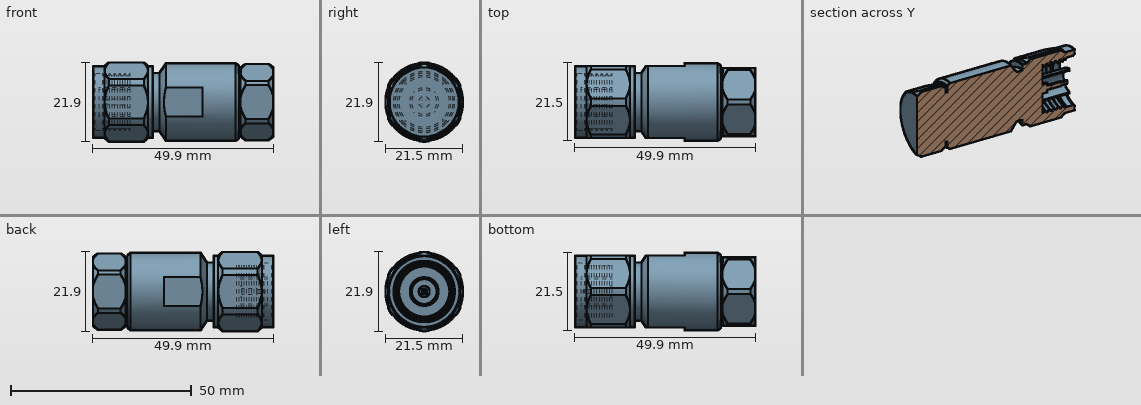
import cadquery as cq
import math

hex_start = 3.2
hex_end = 15.25
coupling_end = 16.6
body_start = 18.35
body_cone_end = 20.15
body_end = 40.35
rear_nut_start = 40.8
length = 49.9

rim_diameter = 19.85
rim_chamfer = 0.15
coupling_across_flats = 19.95
coupling_corner_diameter = 21.95
coupling_bevel_length = 1.2
coupling_bevel_depth = 1.05

neck_diameter = 16.15
body_diameter = 21.5
body_chamfer_length = 0.9
body_chamfer_depth = 0.7
flat_end = 30.3
body_across_flats = 19.95

rear_neck_diameter = 16.05
rear_across_flats = 18.95
rear_corner_diameter = 21.15
rear_bevel_length = 1.4
rear_bevel_depth = 1.0

mouth_diameter = 16.95
bore_diameter = 15.85
mouth_chamfer = (mouth_diameter - bore_diameter) / 2
lead_start = 2.6
lead_length = 0.35
lead_depth = 0.55
thread_start = 3.25
thread_pitch = 1.4
thread_count = 5
thread_crest_diameter = 13.85
socket_floor = thread_start + thread_count * thread_pitch

sleeve_start = 1.7
sleeve_outer_diameter = 7.95
sleeve_inner_diameter = 6.9
pin_start = 2.3
pin_diameter = 1.2
shank_diameter = 1.55
shank_start = 4.5
pin_tip_diameter = 0.6
pin_tip_length = 0.2
pin_base_diameter = 3.05
pin_base_length = 1.5


def revolve_profile(points):
    """Revolve (x, radius) points, closed along the X axis."""
    closed = [(points[0][0], 0)] + points + [(points[-1][0], 0)]
    return cq.Workplane("XY").polyline(closed).close().revolve(360, (0, 0, 0), (1, 0, 0))


def cylinder(start, end, diameter):
    return revolve_profile([(start, diameter / 2), (end, diameter / 2)])


def chamfered_cylinder(start, end, diameter, bevel_length, bevel_depth):
    radius = diameter / 2
    return revolve_profile([
        (start, radius - bevel_depth),
        (start + bevel_length, radius),
        (end - bevel_length, radius),
        (end, radius - bevel_depth),
    ])


def hex_nut(start, end, across_flats, corner_diameter, bevel_length, bevel_depth):
    """Hexagon with flats facing +Y and -Y, its corners turned round and bevelled."""
    point_diameter = across_flats / math.cos(math.pi / 6)
    prism = (
        cq.Workplane("YZ", origin=(start, 0, 0))
        .transformed(rotate=(0, 0, 30))
        .polygon(6, point_diameter)
        .extrude(end - start)
    )
    return prism.intersect(
        chamfered_cylinder(start, end, corner_diameter, bevel_length, bevel_depth)
    )


def make_coupling_nut():
    rim = chamfered_cylinder(0, coupling_end, rim_diameter, rim_chamfer, rim_chamfer)
    return rim.union(hex_nut(
        hex_start, hex_end, coupling_across_flats, coupling_corner_diameter,
        coupling_bevel_length, coupling_bevel_depth,
    ))


def make_body():
    radius = body_diameter / 2
    body = revolve_profile([
        (body_start, neck_diameter / 2),
        (body_cone_end, radius),
        (body_end - body_chamfer_length, radius),
        (body_end, radius - body_chamfer_depth),
    ])
    flat_length = flat_end - body_start
    flat_depth = (body_diameter - body_across_flats) / 2
    for side in (-1, 1):
        cutter = cq.Workplane("XY").box(flat_length, flat_depth, body_diameter).translate(
            (body_start + flat_length / 2, side * (body_across_flats + flat_depth) / 2, 0)
        )
        body = body.cut(cutter)
    return body


def make_socket():
    root_radius = bore_diameter / 2
    crest_radius = thread_crest_diameter / 2
    points = [
        (0, mouth_diameter / 2),
        (mouth_chamfer, root_radius),
        (lead_start, root_radius),
        (lead_start + lead_length, root_radius - lead_depth),
        (thread_start, root_radius),
    ]
    for ridge in range(thread_count):
        ridge_start = thread_start + ridge * thread_pitch
        points.append((ridge_start + thread_pitch / 2, crest_radius))
        points.append((ridge_start + thread_pitch, root_radius))
    return revolve_profile(points)


def make_contact():
    sleeve = cylinder(sleeve_start, socket_floor, sleeve_outer_diameter).cut(
        cylinder(sleeve_start, socket_floor, sleeve_inner_diameter)
    )
    pin_base_start = socket_floor - pin_base_length
    pin = revolve_profile([
        (pin_start, pin_tip_diameter / 2),
        (pin_start + pin_tip_length, pin_diameter / 2),
        (shank_start, pin_diameter / 2),
        (shank_start, shank_diameter / 2),
        (pin_base_start, shank_diameter / 2),
        (pin_base_start, pin_base_diameter / 2),
        (socket_floor, pin_base_diameter / 2),
    ])
    return sleeve.union(pin)


front_neck = cylinder(coupling_end, body_start, neck_diameter)
rear_neck = cylinder(body_end, rear_nut_start, rear_neck_diameter)
rear_nut = hex_nut(
    rear_nut_start, length, rear_across_flats, rear_corner_diameter,
    rear_bevel_length, rear_bevel_depth,
)

result = (
    make_coupling_nut()
    .union(front_neck)
    .union(make_body())
    .union(rear_neck)
    .union(rear_nut)
    .cut(make_socket())
    .union(make_contact())
)